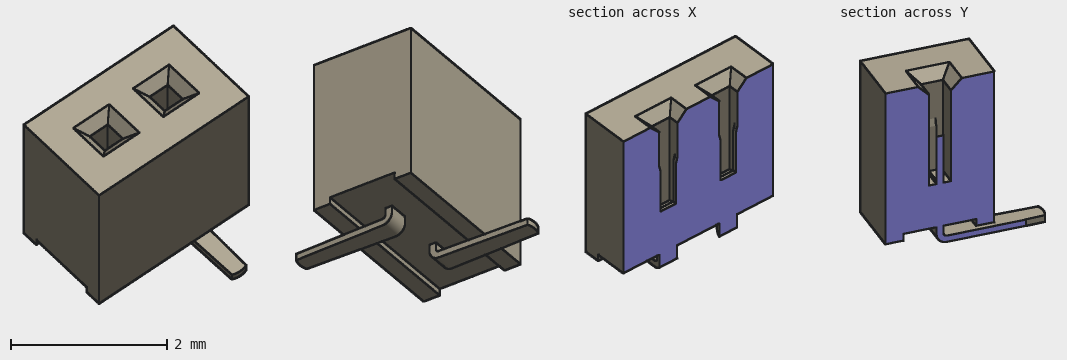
import cadquery as cq
import math

pitch = 1.0
housing_length_x = 1.5
housing_width_y = 2.5
overall_height = 2.4
standoff = 0.15
housing_height = overall_height - standoff
groove_width = 1.0
groove_depth = 0.1
groove_roof_z = standoff + groove_depth

funnel_opening = 0.6
socket_width = 0.3
funnel_depth = (funnel_opening - socket_width) / 2
socket_depth = 1.5
socket_floor_z = overall_height - socket_depth

tine_protrusion = 0.025
tine_top_depth = 0.7
tine_ramp_height = 0.1
fork_root_height = 0.05

lead_thickness = 0.1
lead_root_width = 0.3
lead_tip_width = 0.24
lead_overall_x = 2.95
lead_tip_x = lead_overall_x / 2
tip_bulge = 0.025
tip_corner_x = lead_tip_x - tip_bulge
bend_inner_radius = 0.05
bend_outer_radius = bend_inner_radius + lead_thickness
bend_x = lead_thickness / 2 + bend_inner_radius
lead_embedment = 0.1

contacts = [(-pitch / 2, -1), (pitch / 2, 1)]


def make_housing():
    """Rectangular block with a groove along Y under its bottom face."""
    block = cq.Workplane("XY").workplane(offset=standoff).rect(housing_length_x, housing_width_y)
    block = block.extrude(housing_height)
    groove = cq.Workplane("XY").workplane(offset=standoff).rect(groove_width, housing_width_y)
    return block.cut(groove.extrude(groove_depth))


def make_socket(y):
    """Square blind hole with a tapered entry, as a cutting solid."""
    hole = (
        cq.Workplane("XY", origin=(0, y, socket_floor_z))
        .rect(socket_width, socket_width)
        .extrude(socket_depth)
    )
    funnel = (
        cq.Workplane("XY", origin=(0, y, overall_height))
        .rect(funnel_opening, funnel_opening)
        .workplane(offset=-funnel_depth)
        .rect(socket_width, socket_width)
        .loft(ruled=True)
    )
    return hole.union(funnel)


def make_fork(y):
    """U-shaped contact blade: two tines with inward sloping tips on a low root."""
    outer = socket_width / 2
    inner = outer - tine_protrusion
    tine_top_z = overall_height - tine_top_depth
    ramp_end_z = tine_top_z - tine_ramp_height
    root_z = socket_floor_z + fork_root_height
    return (
        cq.Workplane("YZ", origin=(0, y, 0))
        .moveTo(-outer, groove_roof_z)
        .lineTo(-outer, tine_top_z)
        .lineTo(-inner, ramp_end_z)
        .lineTo(-inner, root_z)
        .lineTo(inner, root_z)
        .lineTo(inner, ramp_end_z)
        .lineTo(outer, tine_top_z)
        .lineTo(outer, groove_roof_z)
        .close()
        .extrude(lead_thickness / 2, both=True)
    )


def make_lead(y, direction):
    """Stem bent through 90 degrees into a tapered foot with a rounded tip."""
    half = lead_thickness / 2
    stem_top_z = groove_roof_z + lead_embedment
    diagonal = math.sqrt(0.5)
    inner_mid = (bend_x - bend_inner_radius * diagonal, bend_outer_radius - bend_inner_radius * diagonal)
    outer_mid = (bend_x - bend_outer_radius * diagonal, bend_outer_radius - bend_outer_radius * diagonal)
    profile = (
        cq.Workplane("XZ", origin=(0, y, 0))
        .moveTo(-half, stem_top_z)
        .lineTo(-half, bend_outer_radius)
        .threePointArc(outer_mid, (bend_x, 0))
        .lineTo(lead_tip_x, 0)
        .lineTo(lead_tip_x, lead_thickness)
        .lineTo(bend_x, lead_thickness)
        .threePointArc(inner_mid, (half, bend_outer_radius))
        .lineTo(half, stem_top_z)
        .close()
        .extrude(lead_root_width / 2, both=True)
    )
    plan = (
        cq.Workplane("XY", origin=(0, y, 0))
        .moveTo(-half, -lead_root_width / 2)
        .lineTo(bend_x, -lead_root_width / 2)
        .lineTo(tip_corner_x, -lead_tip_width / 2)
        .threePointArc((lead_tip_x, 0), (tip_corner_x, lead_tip_width / 2))
        .lineTo(bend_x, lead_root_width / 2)
        .lineTo(-half, lead_root_width / 2)
        .close()
        .extrude(stem_top_z)
    )
    lead = profile.intersect(plan)
    if direction < 0:
        lead = lead.mirror("YZ")
    return lead


result = make_housing()
for contact_y, foot_direction in contacts:
    result = result.cut(make_socket(contact_y))
    result = result.union(make_fork(contact_y))
    result = result.union(make_lead(contact_y, foot_direction))